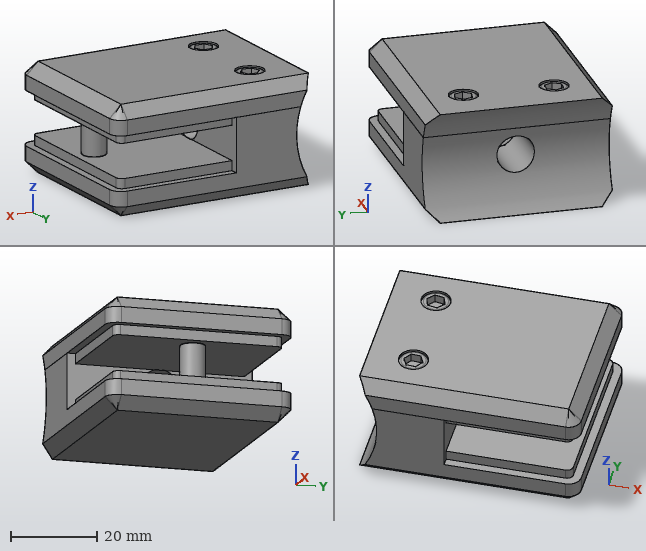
import cadquery as cq
import math

length = 52.85
width = 45.0
height = 27.0
edge_bevel = 3.0
saddle_radius = 21.4

slot_height = 13.4
slot_back_x = -5.55
bore_diameter = 9.0

pad_thickness = 2.45
pad_inset = 2.0
pad_corner_radius = 1.5

pin_diameter = 5.95
pin_x = 19.55
pin_bevel = 0.15

screw_x = -15.7
screw_spacing = 21.8
screw_diameter = 7.0
screw_length = 10.55
screw_rim_radius = 0.6
screw_sink = 0.2
hex_across_flats = 4.0
hex_depth = 2.0
front_screw_turn = -3.0
rear_screw_turn = -10.0

end_x = length / 2
side_y = width / 2
top_z = height / 2
corner_x = end_x - edge_bevel
corner_y = side_y - edge_bevel
bevel_z = top_z - edge_bevel
joint_z = slot_height / 2
pad_gap = slot_height - 2 * pad_thickness
screw_places = [
    (-screw_spacing / 2, front_screw_turn),
    (screw_spacing / 2, rear_screw_turn),
]


def make_long_block():
    """Block along X with bevelled long edges, ending where the end bevel starts."""
    profile = [
        (side_y, -bevel_z),
        (side_y, bevel_z),
        (corner_y, top_z),
        (-corner_y, top_z),
        (-side_y, bevel_z),
        (-side_y, -bevel_z),
        (-corner_y, -top_z),
        (corner_y, -top_z),
    ]
    return cq.Workplane("YZ", origin=(-end_x, 0, 0)).polyline(profile).close().extrude(end_x + corner_x)


def make_end_strip():
    """Bevelled strip of the open end, between the two rounded corners."""
    profile = [
        (0, -top_z),
        (corner_x, -top_z),
        (end_x, -bevel_z),
        (end_x, bevel_z),
        (corner_x, top_z),
        (0, top_z),
    ]
    return cq.Workplane("XZ").polyline(profile).close().extrude(corner_y, both=True)


def make_rounded_corner(side):
    """Cylinder with pointed ends that rounds one corner of the open end."""
    half_profile = [(0, -top_z), (edge_bevel, -bevel_z), (edge_bevel, bevel_z), (0, top_z)]
    spindle = cq.Workplane("XZ").polyline(half_profile).close().revolve(360, (0, 0, 0), (0, 1, 0))
    return spindle.translate((corner_x, side * corner_y, 0))


def make_saddle():
    """Cylinder along Y whose arc meets the top and bottom edges of the -X end."""
    axis_x = -end_x - math.sqrt(saddle_radius**2 - top_z**2)
    return cq.Workplane("XZ").center(axis_x, 0).circle(saddle_radius).extrude(width, both=True)


def make_envelope():
    """Outer shape shared by the cover and the base."""
    block = make_long_block().union(make_end_strip())
    for side in (-1, 1):
        block = block.union(make_rounded_corner(side))
    return block.cut(make_saddle())


def make_pad(side):
    """Pad on the upper (side 1) or lower (side -1) wall of the slot."""
    pad_length = end_x - pad_inset - slot_back_x
    center_x = slot_back_x + pad_length / 2
    center_z = side * (pad_gap + pad_thickness) / 2
    return (
        cq.Workplane("XY", origin=(center_x, 0, center_z))
        .box(pad_length, width - 2 * pad_inset, pad_thickness)
        .edges("|Z and >X")
        .fillet(pad_corner_radius)
    )


def make_screw_holes():
    """Blind holes for the two screws, open at the top of the cover."""
    return (
        cq.Workplane("XY", origin=(screw_x, 0, top_z))
        .pushPoints([(0, y) for y, turn in screw_places])
        .circle(screw_diameter / 2)
        .extrude(-screw_length - screw_sink)
    )


def make_cover(envelope):
    """Upper jaw: everything above the joint plane, with its pad."""
    above_joint = cq.Workplane("XY", origin=(0, 0, joint_z)).rect(length, width).extrude(height)
    return envelope.intersect(above_joint).cut(make_screw_holes()).union(make_pad(1))


def make_base(envelope):
    """Lower jaw with its pad, and the block that closes the slot and carries the bore."""
    below_joint = cq.Workplane("XY", origin=(0, 0, joint_z)).rect(length, width).extrude(-height)
    slot = cq.Workplane("XY", origin=(slot_back_x + length / 2, 0, 0)).box(length, width, slot_height)
    bore = cq.Workplane("YZ").circle(bore_diameter / 2).extrude(length, both=True)
    body = envelope.intersect(below_joint).cut(slot).cut(bore).cut(make_screw_holes())
    return body.union(make_pad(-1))


def make_pin():
    """Round pin that crosses the slot from pad to pad, with lightly bevelled ends."""
    return (
        cq.Workplane("XY", origin=(pin_x, 0, -pad_gap / 2))
        .circle(pin_diameter / 2)
        .extrude(pad_gap)
        .faces("<Z or >Z")
        .chamfer(pin_bevel)
    )


def make_screw(y, turn):
    """Hex socket screw with a rounded rim, sunk just below the top of the cover."""
    across_corners = hex_across_flats / math.cos(math.radians(30))
    socket = cq.Workplane("XY").polygon(6, across_corners).extrude(-hex_depth)
    return (
        cq.Workplane("XY")
        .circle(screw_diameter / 2)
        .extrude(-screw_length)
        .faces(">Z")
        .fillet(screw_rim_radius)
        .cut(socket)
        .rotate((0, 0, 0), (0, 0, 1), turn)
        .translate((screw_x, y, top_z - screw_sink))
    )


clamp_envelope = make_envelope()
cover = make_cover(clamp_envelope)
base = make_base(clamp_envelope)
pin = make_pin()
screws = [make_screw(y, turn) for y, turn in screw_places]

result = cq.Compound.makeCompound([
    cover.val(),
    base.val(),
    pin.val(),
    *[screw.val() for screw in screws],
])